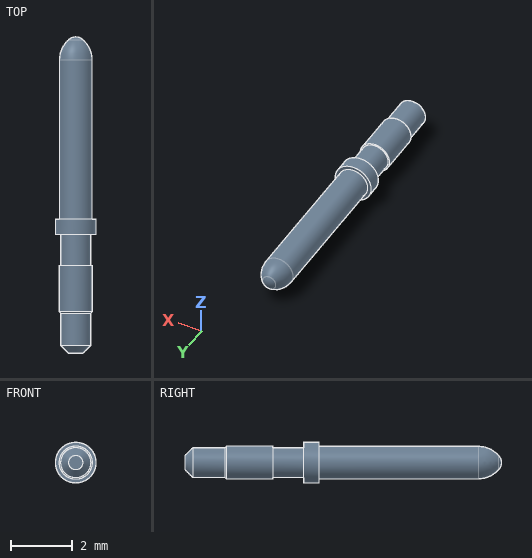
import cadquery as cq

total_length = 10.25

shaft_diameter = 1.07
collar_diameter = 1.32
core_diameter = 0.97
barrel_diameter = 1.08

collar_length = 0.5
neck_length = 0.99
barrel_length = 1.55
tail_length = 1.3
tail_chamfer = 0.26

nose_length = 0.75
tip_length = 0.1
tip_diameter = 0.48

shaft_radius = shaft_diameter / 2
collar_radius = collar_diameter / 2
core_radius = core_diameter / 2
barrel_radius = barrel_diameter / 2
barrel_chamfer = barrel_radius - core_radius
tip_radius = tip_diameter / 2

tail_end = -total_length / 2
barrel_start = tail_end + tail_length
neck_start = barrel_start + barrel_length
collar_start = neck_start + neck_length
shaft_start = collar_start + collar_length
nose_end = total_length / 2
nose_start = nose_end - nose_length
tip_start = nose_end - tip_length

tip_sphere_radius = (tip_radius**2 + tip_length**2) / (2 * tip_length)
tip_centre = nose_end - tip_sphere_radius
tip_mid_radius = tip_radius / 2
tip_mid = tip_centre + (tip_sphere_radius**2 - tip_mid_radius**2) ** 0.5

half_profile = (
    cq.Workplane("XY")
    .moveTo(0, tail_end)
    .lineTo(core_radius - tail_chamfer, tail_end)
    .lineTo(core_radius, tail_end + tail_chamfer)
    .lineTo(core_radius, barrel_start)
    .lineTo(barrel_radius, barrel_start + barrel_chamfer)
    .lineTo(barrel_radius, neck_start)
    .lineTo(core_radius, neck_start)
    .lineTo(core_radius, collar_start)
    .lineTo(collar_radius, collar_start)
    .lineTo(collar_radius, shaft_start)
    .lineTo(shaft_radius, shaft_start)
    .lineTo(shaft_radius, nose_start)
    .tangentArcPoint((tip_radius, tip_start), relative=False)
    .threePointArc((tip_mid_radius, tip_mid), (0, nose_end))
    .close()
)

result = half_profile.revolve(360, (0, 0, 0), (0, 1, 0))